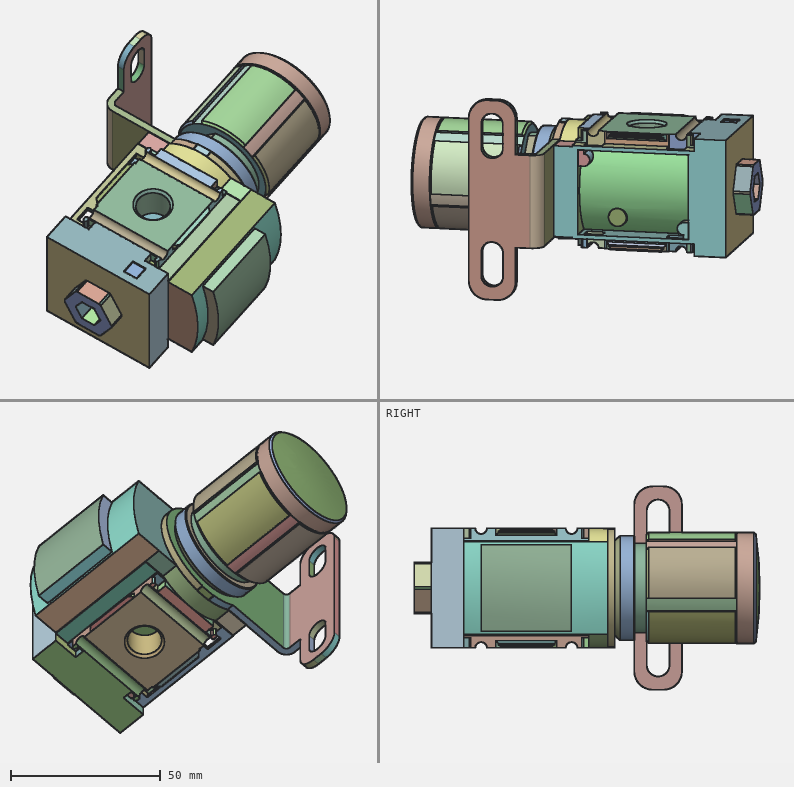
import cadquery as cq
import math


BODY_WIDTH = 42.0
BODY_DEPTH = 40.0
SHELF_HALF_Z = 15.85
CORE_HALF_Y = 20.9
BASE_END_Y = -31.7
SHOULDER_END_Y = 27.1
SHOULDER_HALF_Z = 15.5
SHOULDER_RADIUS = BODY_DEPTH / 2

PLATE_HALF_X = 15.4
PLATE_HEIGHT = BODY_DEPTH / 2 - SHELF_HALF_Z
CLAMP_GROOVE_Y = 15.1
CLAMP_GROOVE_RADIUS = 1.9
CORNER_POCKET_X = 11.5
CORNER_POCKET_Y = 17.4
CORNER_FLOOR_Z = 16.6
LUG_WIDTH = 1.5
LUG_LENGTH = 1.7
LUG_CHAMFER = 0.6
TAB_REACH = 1.75
TAB_BASE_HALF_Y = 10.2
TAB_TIP_HALF_Y = 8.6
TAB_DROP = 0.1
TAB_LIP_Z = 19.4
TAB_STEP_X = 16.2
TAB_STEP_TOP_Z = 18.9
TAB_STEP_BOTTOM_Z = 18.4
TAB_ROOT_Z = 17.6

PORT_DIAMETER = 11.45
PORT_DEPTH = 12.0
PORT_CHAMFER = 0.95

WINDOW_HALF_Y = 18.9
WINDOW_HALF_Z = 14.45
BOWL_DIAMETER = 37.2
PIN_DIAMETER = 6.1
PIN_END_X = -18.0
PIN_Y = 6.06
PIN_Z = -8.6
BOSS_RADIUS = 2.1
BOSS_RECESS = 0.6
BOSS_Y = 17.1
BOSS_Z = 10.95
SLOT_MIN_X = -18.95
SLOT_MAX_X = -14.9
SLOT_MIN_Y = 11.0
SLOT_MAX_Y = 17.1

COVER_EDGE_X = 30.7
COVER_CROWN_X = 33.2
COVER_HALF_Z = 15.4
GAUGE_HALF_Y = 15.0
GAUGE_EDGE_X = 35.3
GAUGE_CROWN_X = 37.5
GAUGE_HALF_Z = 14.45

PLUG_END_Y = -37.5
PLUG_ACROSS_FLATS = 17.1
PLUG_CORNER_DIAMETER = 19.3
SOCKET_ACROSS_FLATS = 8.8

LABEL_SIZE = 5.2
LABEL_X = 11.0
LABEL_Y = -26.05
LABEL_DEPTH = 0.5

NECK_DIAMETER = 30.0
NECK_FLAT_DISTANCE = 12.45
NECK_FLAT_ANGLE = 45.0
KNOB_DIAMETER = 37.2
KNOB_START_Y = 40.0
KNOB_START_CHAMFER = 0.8
KNOB_RIM_Y = 76.7
KNOB_TOP_Y = 78.0
KNOB_RIM_CHAMFER = 0.7
CAP_START_Y = 70.3
CAP_GROOVE_WIDTH = 0.5
CAP_GROOVE_DEPTH = 0.4
GRIP_COUNT = 5
GRIP_ANGLE = 14.4
GRIP_DEPTH = 0.8

SHEET = 2.5
WALL_X = -40.0
BEND_RADIUS = 4.0
LEG_HALF_Z = 15.85
DISC_RADIUS = 19.85
KEY_HALF_X = 2.75
KEY_Z = 20.0
WALL_MIN_Y = 36.0
WALL_WIDTH = 16.0
WALL_HEIGHT = 68.0
WALL_CORNER_RADIUS = 6.2
SLOT_WIDTH = 7.5
SLOT_LENGTH = 15.2
SLOT_CENTER_Z = 21.9

NUT_DIAMETER = 35.0
NUT_FOOT_DIAMETER = 32.0
NUT_START_Y = SHOULDER_END_Y + SHEET
NUT_END_Y = 36.2
NUT_FOOT_HEIGHT = 1.7
NUT_TOP_CHAMFER = 0.3


def block(x_range, y_range, z_range):
    """Axis-aligned box from its limits along X, Y and Z."""
    limits = (x_range, y_range, z_range)
    sizes = [high - low for low, high in limits]
    corner = [low for low, high in limits]
    return cq.Workplane("XY").box(*sizes, centered=False).translate(tuple(corner))


def span(half):
    return (-half, half)


def rod(diameter, start_y, end_y):
    """Cylinder on the knob axis."""
    return y_plane(start_y).circle(diameter / 2).extrude(start_y - end_y)


def y_plane(y):
    """Sketch plane square to the knob axis; its normal points to -Y."""
    return cq.Workplane("XZ", origin=(0, y, 0))


def both_faces(shape):
    """The shape together with its mirror copy on the opposite port face."""
    return shape.union(shape.mirror("XY"))


def port_plate():
    """Raised plate of the +Z port face, with its clamp grooves, corner pockets and tabs."""
    face_z = BODY_DEPTH / 2
    plate = block(span(PLATE_HALF_X), span(CORE_HALF_Y), (face_z - PLATE_HEIGHT, face_z))
    for side_y in (-1, 1):
        groove = (
            cq.Workplane("YZ", origin=(-PLATE_HALF_X, side_y * CLAMP_GROOVE_Y, face_z))
            .circle(CLAMP_GROOVE_RADIUS)
            .extrude(2 * PLATE_HALF_X)
        )
        plate = plate.cut(groove)
        for side_x in (-1, 1):
            plate = plate.cut(corner_pocket(side_x, side_y))
    for side_x in (-1, 1):
        plate = plate.union(side_tab(side_x))
    return plate


def corner_pocket(side_x, side_y):
    """Pocket at a plate corner, which leaves a small lug standing on the outer side."""
    face_z = BODY_DEPTH / 2
    pocket = block(
        (CORNER_POCKET_X, PLATE_HALF_X), (CORNER_POCKET_Y, CORE_HALF_Y), (CORNER_FLOOR_Z, face_z)
    )
    lug = block(
        (PLATE_HALF_X - LUG_WIDTH, PLATE_HALF_X),
        (CORNER_POCKET_Y, CORNER_POCKET_Y + LUG_LENGTH),
        (CORNER_FLOOR_Z, face_z),
    )
    pocket = pocket.cut(lug.faces(">Y").edges("|Z").chamfer(LUG_CHAMFER))
    if side_x < 0:
        pocket = pocket.mirror("YZ")
    if side_y < 0:
        pocket = pocket.mirror("XZ")
    return pocket


def side_tab(side_x):
    """Tab with bevelled ends and a stepped undercut along one side of the port plate."""
    face_z = BODY_DEPTH / 2
    tip_x = PLATE_HALF_X + TAB_REACH
    outline = [
        (PLATE_HALF_X, -TAB_BASE_HALF_Y),
        (tip_x, -TAB_TIP_HALF_Y),
        (tip_x, TAB_TIP_HALF_Y),
        (PLATE_HALF_X, TAB_BASE_HALF_Y),
    ]
    profile = [
        (PLATE_HALF_X, face_z - TAB_DROP),
        (tip_x, face_z - TAB_DROP),
        (tip_x, TAB_LIP_Z),
        (TAB_STEP_X, TAB_STEP_TOP_Z),
        (TAB_STEP_X, TAB_STEP_BOTTOM_Z),
        (PLATE_HALF_X, TAB_ROOT_Z),
    ]
    prism = cq.Workplane("XY").polyline(outline).close().extrude(face_z)
    wedge = cq.Workplane("XZ").polyline(profile).close().extrude(TAB_BASE_HALF_Y, both=True)
    tab = prism.intersect(wedge)
    return tab if side_x > 0 else tab.mirror("YZ")


def port():
    """Blind port of the +Z face with its chamfered mouth."""
    face_z = BODY_DEPTH / 2
    radius = PORT_DIAMETER / 2
    profile = [
        (0, face_z - PORT_DEPTH),
        (radius, face_z - PORT_DEPTH),
        (radius, face_z - PORT_CHAMFER),
        (radius + PORT_CHAMFER, face_z),
        (0, face_z),
    ]
    return cq.Workplane("XZ").polyline(profile).close().revolve(360, (0, 0), (0, 1))


def window_pocket():
    """Side window of the housing, around the bowl, the pin and the two corner bosses."""
    pocket = block((-BODY_WIDTH / 2, 0), span(WINDOW_HALF_Y), span(WINDOW_HALF_Z))
    bowl = rod(BOWL_DIAMETER, -WINDOW_HALF_Y, WINDOW_HALF_Y)
    pin = (
        cq.Workplane("YZ", origin=(PIN_END_X, PIN_Y, PIN_Z))
        .circle(PIN_DIAMETER / 2)
        .extrude(-PIN_END_X)
    )
    boss_start_x = -BODY_WIDTH / 2 + BOSS_RECESS
    boss = (
        cq.Workplane("YZ", origin=(boss_start_x, BOSS_Y, BOSS_Z))
        .circle(BOSS_RADIUS)
        .extrude(-boss_start_x)
        .union(
            block((boss_start_x, 0), (BOSS_Y, WINDOW_HALF_Y), (BOSS_Z - BOSS_RADIUS, WINDOW_HALF_Z))
        )
    )
    opposite_boss = boss.rotate((0, 0, 0), (1, 0, 0), 180)
    return pocket.cut(bowl).cut(pin).cut(boss).cut(opposite_boss)


def shelf_slot(side_y):
    """Slot through the +Z window wall that also notches the edge of the port plate."""
    slot = block((SLOT_MIN_X, SLOT_MAX_X), (SLOT_MIN_Y, SLOT_MAX_Y), (WINDOW_HALF_Z, BODY_DEPTH / 2))
    return slot if side_y > 0 else slot.mirror("XZ")


def crowned_block(start_x, edge_x, crown_x, half_z, y_range):
    """Block on the +X side whose outer face is a shallow arc about Y."""
    start_y, end_y = y_range
    return (
        y_plane(start_y)
        .moveTo(start_x, -half_z)
        .lineTo(edge_x, -half_z)
        .threePointArc((crown_x, 0), (edge_x, half_z))
        .lineTo(start_x, half_z)
        .close()
        .extrude(start_y - end_y)
    )


def drain_plug():
    """Hexagonal plug on the base with trimmed corners and a hexagonal socket."""
    height = BASE_END_Y - PLUG_END_Y
    plug = y_plane(BASE_END_Y).polygon(6, PLUG_ACROSS_FLATS / math.cos(math.pi / 6)).extrude(height)
    plug = plug.intersect(rod(PLUG_CORNER_DIAMETER, PLUG_END_Y, BASE_END_Y))
    socket = y_plane(BASE_END_Y).polygon(6, SOCKET_ACROSS_FLATS / math.cos(math.pi / 6)).extrude(height)
    return plug.cut(socket)


def threaded_neck():
    """Neck under the knob, with one flat facing -X and +Z."""
    neck = rod(NECK_DIAMETER, SHOULDER_END_Y, KNOB_START_Y)
    keep = block(
        span(NECK_DIAMETER), (SHOULDER_END_Y, KNOB_START_Y), (-NECK_DIAMETER, NECK_FLAT_DISTANCE)
    )
    return neck.intersect(keep.rotate((0, 0, 0), (0, 1, 0), -NECK_FLAT_ANGLE))


def grip_recess(angle):
    """Shallow recessed strip along the knob, centred at an angle from +Z."""
    radius = KNOB_DIAMETER / 2
    half_angle = math.radians(GRIP_ANGLE / 2)
    outer = 2 * radius
    sector = (
        y_plane(KNOB_START_Y)
        .moveTo(0, 0)
        .lineTo(outer * math.sin(half_angle), outer * math.cos(half_angle))
        .lineTo(-outer * math.sin(half_angle), outer * math.cos(half_angle))
        .close()
        .extrude(KNOB_START_Y - CAP_START_Y)
    )
    strip = sector.cut(rod(KNOB_DIAMETER - 2 * GRIP_DEPTH, KNOB_START_Y, CAP_START_Y))
    return strip.rotate((0, 0, 0), (0, 1, 0), angle)


def knob():
    """Domed adjusting knob with a groove under its cap and recessed grip strips."""
    radius = KNOB_DIAMETER / 2
    groove_radius = radius - CAP_GROOVE_DEPTH
    groove_start_y = CAP_START_Y - CAP_GROOVE_WIDTH
    rim_radius = radius - KNOB_RIM_CHAMFER
    dome_rise = KNOB_TOP_Y - KNOB_RIM_Y
    dome_radius = (rim_radius**2 + dome_rise**2) / (2 * dome_rise)
    half_rim = rim_radius / 2
    half_rim_y = KNOB_TOP_Y - dome_radius + math.sqrt(dome_radius**2 - half_rim**2)
    turned = (
        cq.Workplane("XY")
        .moveTo(0, KNOB_START_Y)
        .lineTo(radius - KNOB_START_CHAMFER, KNOB_START_Y)
        .lineTo(radius, KNOB_START_Y + KNOB_START_CHAMFER)
        .lineTo(radius, groove_start_y)
        .lineTo(groove_radius, groove_start_y)
        .lineTo(groove_radius, CAP_START_Y)
        .lineTo(radius, CAP_START_Y)
        .lineTo(radius, KNOB_RIM_Y - KNOB_RIM_CHAMFER)
        .lineTo(rim_radius, KNOB_RIM_Y)
        .threePointArc((half_rim, half_rim_y), (0, KNOB_TOP_Y))
        .close()
        .revolve(360, (0, 0), (0, 1))
    )
    pitch = 360 / GRIP_COUNT
    for index in range(GRIP_COUNT):
        turned = turned.cut(grip_recess(pitch * (index + 0.5)))
    return turned


def make_housing():
    """Regulator body with cover, gauge, drain plug, neck and knob."""
    half_x = BODY_WIDTH / 2
    core_y = span(CORE_HALF_Y)
    housing = block(span(half_x), core_y, span(SHELF_HALF_Z))
    housing = housing.union(block(span(half_x), (BASE_END_Y, -CORE_HALF_Y), span(BODY_DEPTH / 2)))
    housing = housing.union(
        block(span(half_x), (CORE_HALF_Y, SHOULDER_END_Y), span(SHOULDER_HALF_Z))
    )
    housing = housing.union(rod(2 * SHOULDER_RADIUS, CORE_HALF_Y, SHOULDER_END_Y))
    housing = housing.union(both_faces(port_plate()))
    housing = housing.cut(port()).cut(port().mirror("XY"))
    housing = housing.cut(window_pocket())
    for side_y in (-1, 1):
        slot = shelf_slot(side_y)
        housing = housing.cut(slot).cut(slot.mirror("XY"))
    label = block(
        (LABEL_X - LABEL_SIZE / 2, LABEL_X + LABEL_SIZE / 2),
        (LABEL_Y - LABEL_SIZE / 2, LABEL_Y + LABEL_SIZE / 2),
        (BODY_DEPTH / 2 - LABEL_DEPTH, BODY_DEPTH / 2),
    )
    housing = housing.cut(label)
    cover_y = (-CORE_HALF_Y, SHOULDER_END_Y)
    housing = housing.union(crowned_block(half_x, COVER_EDGE_X, COVER_CROWN_X, COVER_HALF_Z, cover_y))
    gauge_y = span(GAUGE_HALF_Y)
    housing = housing.union(crowned_block(half_x, GAUGE_EDGE_X, GAUGE_CROWN_X, GAUGE_HALF_Z, gauge_y))
    return housing.union(drain_plug()).union(threaded_neck()).union(knob())


def make_bracket():
    """Bent sheet bracket: slotted wall plate, leg, and disc with key tabs around the neck."""
    leg_y = (SHOULDER_END_Y, SHOULDER_END_Y + SHEET)
    wall_end_y = WALL_MIN_Y + WALL_WIDTH
    angle = (
        cq.Workplane("XY")
        .moveTo(0, leg_y[0])
        .lineTo(WALL_X, leg_y[0])
        .lineTo(WALL_X, WALL_MIN_Y)
        .lineTo(WALL_X + SHEET, WALL_MIN_Y)
        .lineTo(WALL_X + SHEET, leg_y[1])
        .lineTo(0, leg_y[1])
        .close()
        .extrude(LEG_HALF_Z, both=True)
    )
    angle = angle.edges(cq.selectors.NearestToPointSelector((WALL_X, leg_y[0], 0))).fillet(BEND_RADIUS)
    inner_corner = (WALL_X + SHEET, leg_y[1], 0)
    angle = angle.edges(cq.selectors.NearestToPointSelector(inner_corner)).fillet(BEND_RADIUS - SHEET)

    wall_plate = block((WALL_X, WALL_X + SHEET), (WALL_MIN_Y, wall_end_y), span(WALL_HEIGHT / 2))
    wall_plate = wall_plate.edges("|X").fillet(WALL_CORNER_RADIUS)
    slots = (
        cq.Workplane("YZ", origin=(WALL_X, WALL_MIN_Y + WALL_WIDTH / 2, 0))
        .pushPoints([(0, -SLOT_CENTER_Z), (0, SLOT_CENTER_Z)])
        .slot2D(SLOT_LENGTH, SLOT_WIDTH, 90)
        .extrude(SHEET)
    )
    disc = rod(2 * DISC_RADIUS, *leg_y)
    keys = block(span(KEY_HALF_X), leg_y, span(KEY_Z))
    bracket = angle.union(wall_plate).union(disc).union(keys)
    return bracket.cut(slots).cut(rod(NECK_DIAMETER, *leg_y))


def make_ring_nut():
    """Round nut on the neck that clamps the bracket against the shoulder."""
    bore = NECK_DIAMETER / 2
    radius = NUT_DIAMETER / 2
    profile = [
        (bore, NUT_START_Y),
        (NUT_FOOT_DIAMETER / 2, NUT_START_Y),
        (radius, NUT_START_Y + NUT_FOOT_HEIGHT),
        (radius, NUT_END_Y - NUT_TOP_CHAMFER),
        (radius - NUT_TOP_CHAMFER, NUT_END_Y),
        (bore, NUT_END_Y),
    ]
    return cq.Workplane("XY").polyline(profile).close().revolve(360, (0, 0), (0, 1))


housing = make_housing()
bracket = make_bracket()
ring_nut = make_ring_nut()

result = cq.Compound.makeCompound([housing.val(), bracket.val(), ring_nut.val()])